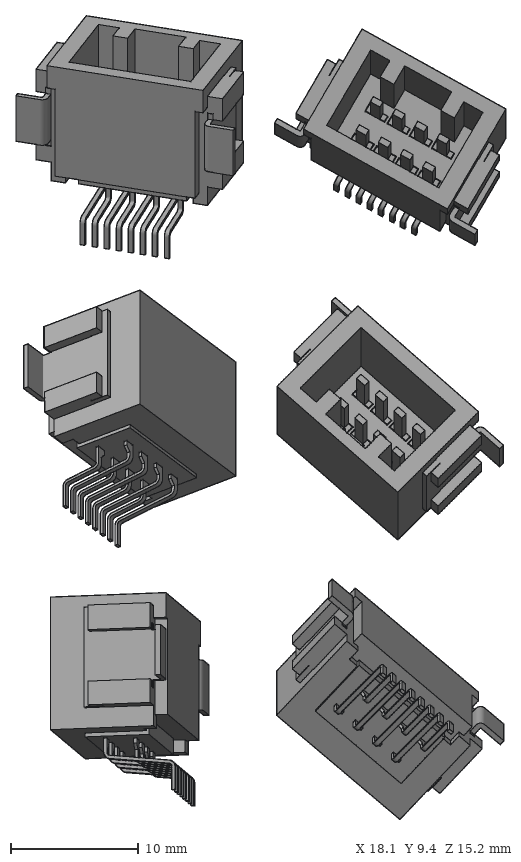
import cadquery as cq
import math


SHELL_HALF_X = 6.5
SHELL_DEPTH = 9.27
SHELL_TOP = 10.59

PANEL_DEPTH = 1.0
PANEL_HALF_X = 5.81
PANEL_BOTTOM = 1.0
PANEL_STEP_Z = 8.62

CAVITY_HALF_X = 5.07
CAVITY_FRONT = 1.15
CAVITY_REAR = 8.13
CAVITY_FLOOR = 2.0
RIB_INNER_X = 2.12
RIB_OUTER_X = 3.35
RIB_FRONT = 6.62
CENTRE_POCKET_REAR = 8.35

BASE_HALF_X = 4.5
BASE_FRONT = 1.77
BASE_REAR = 6.9
BASE_BOTTOM = -0.3
UNDERCUT_HALF_X = 5.32
UNDERCUT_REAR = 2.0

EAR_OUTER_X = 7.76
EAR_BOTTOM = 1.63
EAR_TOP = 9.6
EAR_REAR = 6.0
CLIP_CENTRE_Z = 5.57
CLIP_GAP = 0.04
CLIP_THICKNESS = 0.43
CLIP_INNER_X = SHELL_HALF_X + CLIP_GAP
CLIP_OUTER_X = CLIP_INNER_X + CLIP_THICKNESS
CLIP_PLATE_HEIGHT = 5.03
CLIP_SLOT_HEIGHT = CLIP_PLATE_HEIGHT + 2 * CLIP_GAP
CLIP_FOOT_HEIGHT = 4.0
EAR_WINDOW_HEIGHT = 4.1
CLIP_BAR_FRONT = 4.95
CLIP_BAR_REAR = 6.46
FOOT_FRONT = -0.13
FOOT_TIP_X = 9.05
FOOT_INNER_RADIUS = 0.05
FOOT_OUTER_RADIUS = FOOT_INNER_RADIUS + CLIP_THICKNESS

CONTACTS_PER_ROW = 4
ROW_SPAN = 6.01
CONTACT_PITCH = ROW_SPAN / (CONTACTS_PER_ROW - 1)
FIRST_CONTACT_X = -3.93
ROW_TURN_Y = 4.33
SHEET = 0.25
CONTACT_WIDTH = 1.68
CONTACT_FRONT = 5.34
BODY_THICKNESS = 0.49
BODY_BOTTOM = 1.0
FLANGE_DEPTH = 0.92
BLADE_WIDTH = 0.87
BLADE_TOP = 6.23
CONTACT_GAP = 0.05
FLANGE_POCKET_WIDTH = 0.49

LEAD_OFFSET_X = 0.22
LEAD_WIDTH = 0.4
NECK_WIDTH = 0.81
NECK_BOTTOM = -0.7
LEAD_TIP_Y = 0.0
LEAD_TIP_CORNER_Z = -2.43
LEAD_TIP_BOTTOM = -4.62
LEAD_SLOPE = math.radians(6.7)
BEND_INNER_RADIUS = SHEET
BEND_OUTER_RADIUS = BEND_INNER_RADIUS + SHEET


def box(x0, x1, y0, y1, z0, z1):
    """Box given by its two limits along each axis."""
    return cq.Workplane("XY").box(x1 - x0, y1 - y0, z1 - z0, centered=False).translate((x0, y0, z0))


def centred_height(height):
    """Bottom and top of a clip feature centred on the clip height."""
    return CLIP_CENTRE_Z - height / 2, CLIP_CENTRE_Z + height / 2


def turn_to_front_row(shape):
    """Half turn about a vertical axis that carries the rear row onto the front row."""
    return shape.rotate((0, ROW_TURN_Y, 0), (0, ROW_TURN_Y, 1), 180)



def make_shell():
    main = box(-SHELL_HALF_X, SHELL_HALF_X, PANEL_DEPTH, SHELL_DEPTH, 0, SHELL_TOP)
    panel = box(-PANEL_HALF_X, PANEL_HALF_X, 0, PANEL_DEPTH, PANEL_BOTTOM, SHELL_TOP)
    panel_head = box(-SHELL_HALF_X, SHELL_HALF_X, 0, PANEL_DEPTH, PANEL_STEP_Z, SHELL_TOP)
    undercut = box(-UNDERCUT_HALF_X, UNDERCUT_HALF_X, PANEL_DEPTH, UNDERCUT_REAR, 0, PANEL_BOTTOM)
    base = box(-BASE_HALF_X, BASE_HALF_X, BASE_FRONT, BASE_REAR, BASE_BOTTOM, PANEL_BOTTOM)
    return main.union(panel).union(panel_head).cut(undercut).union(base)


def make_cavity():
    cavity = box(-CAVITY_HALF_X, CAVITY_HALF_X, CAVITY_FRONT, CAVITY_REAR, CAVITY_FLOOR, SHELL_TOP)
    centre_pocket = box(-RIB_INNER_X, RIB_INNER_X, RIB_FRONT, CENTRE_POCKET_REAR, CAVITY_FLOOR, SHELL_TOP)
    right_rib = box(RIB_INNER_X, RIB_OUTER_X, RIB_FRONT, CAVITY_REAR, CAVITY_FLOOR, SHELL_TOP)
    left_rib = right_rib.mirror("YZ")
    return cavity.cut(right_rib).cut(left_rib).union(centre_pocket)


def make_ear():
    """Ear on the +X side, slotted for the clip."""
    ear = box(SHELL_HALF_X, EAR_OUTER_X, PANEL_DEPTH, EAR_REAR, EAR_BOTTOM, EAR_TOP)
    bar_slot = box(
        SHELL_HALF_X, CLIP_OUTER_X + CLIP_GAP, CLIP_BAR_FRONT, EAR_REAR, EAR_BOTTOM, EAR_TOP
    )
    plate_slot = box(
        SHELL_HALF_X, CLIP_OUTER_X, PANEL_DEPTH, CLIP_BAR_FRONT, *centred_height(CLIP_SLOT_HEIGHT)
    )
    window = box(
        CLIP_OUTER_X, EAR_OUTER_X, PANEL_DEPTH, EAR_REAR, *centred_height(EAR_WINDOW_HEIGHT)
    )
    return ear.cut(bar_slot).cut(plate_slot).cut(window)


def make_clip():
    """Solder clip on the +X side: rear bar, plate and a foot bent outward."""
    bar = box(CLIP_INNER_X, CLIP_OUTER_X, CLIP_BAR_FRONT, CLIP_BAR_REAR, EAR_BOTTOM, EAR_TOP)
    plate_front = PANEL_DEPTH + CLIP_GAP
    plate = box(
        CLIP_INNER_X, CLIP_OUTER_X, plate_front, CLIP_BAR_FRONT, *centred_height(CLIP_PLATE_HEIGHT)
    )
    foot_bottom = centred_height(CLIP_FOOT_HEIGHT)[0]
    foot_rear = FOOT_FRONT + CLIP_THICKNESS
    foot = (
        cq.Workplane("XY")
        .workplane(offset=foot_bottom)
        .moveTo(CLIP_INNER_X, plate_front)
        .lineTo(CLIP_INNER_X, FOOT_FRONT + FOOT_OUTER_RADIUS)
        .radiusArc((CLIP_INNER_X + FOOT_OUTER_RADIUS, FOOT_FRONT), -FOOT_OUTER_RADIUS)
        .lineTo(FOOT_TIP_X, FOOT_FRONT)
        .lineTo(FOOT_TIP_X, foot_rear)
        .lineTo(CLIP_OUTER_X + FOOT_INNER_RADIUS, foot_rear)
        .radiusArc((CLIP_OUTER_X, foot_rear + FOOT_INNER_RADIUS), FOOT_INNER_RADIUS)
        .lineTo(CLIP_OUTER_X, plate_front)
        .close()
        .extrude(CLIP_FOOT_HEIGHT)
    )
    return bar.union(plate).union(foot)


def make_contact_opening():
    """Floor pocket and neck slot for the first contact of the rear row."""
    left = FIRST_CONTACT_X - CONTACT_GAP
    right = FIRST_CONTACT_X + CONTACT_WIDTH + CONTACT_GAP
    front = CONTACT_FRONT - CONTACT_GAP
    rear = CONTACT_FRONT + FLANGE_DEPTH + CONTACT_GAP
    body_pocket = box(left, right, front, CONTACT_FRONT + BODY_THICKNESS, BODY_BOTTOM, CAVITY_FLOOR)
    flange_pocket = box(left, left + FLANGE_POCKET_WIDTH, front, rear, BODY_BOTTOM, CAVITY_FLOOR)
    neck_left = FIRST_CONTACT_X + LEAD_OFFSET_X
    neck_slot = box(
        neck_left, neck_left + NECK_WIDTH, CONTACT_FRONT, CONTACT_FRONT + SHEET, BASE_BOTTOM, BODY_BOTTOM
    )
    return body_pocket.union(flange_pocket).union(neck_slot)


def make_housing():
    housing = make_shell().cut(make_cavity())
    side_fitting = make_ear().union(make_clip())
    housing = housing.union(side_fitting).union(side_fitting.mirror("YZ"))
    for index in range(CONTACTS_PER_ROW):
        opening = make_contact_opening().translate((index * CONTACT_PITCH, 0, 0))
        housing = housing.cut(opening).cut(turn_to_front_row(opening))
    return housing



def make_lead(left, lead_rear):
    """Bent lead from the neck down to the board, its upper leg ending at lead_rear in Y."""
    lead_front = lead_rear - SHEET
    tip_front = LEAD_TIP_Y - SHEET / 2
    tip_rear = LEAD_TIP_Y + SHEET / 2
    half_drop = SHEET / 2 / math.cos(LEAD_SLOPE)

    def slope_z(y):
        return LEAD_TIP_CORNER_Z + (y - LEAD_TIP_Y) * math.tan(LEAD_SLOPE)

    upper_inner = (lead_front, slope_z(lead_front) + half_drop)
    upper_outer = (lead_rear, slope_z(lead_rear) - half_drop)
    lower_inner = (tip_rear, slope_z(tip_rear) - half_drop)
    lower_outer = (tip_front, slope_z(tip_front) + half_drop)
    outline = [
        (lead_rear, NECK_BOTTOM),
        upper_outer,
        lower_inner,
        (tip_rear, LEAD_TIP_BOTTOM),
        (tip_front, LEAD_TIP_BOTTOM),
        lower_outer,
        upper_inner,
        (lead_front, NECK_BOTTOM),
    ]
    lead = cq.Workplane("YZ").polyline(outline).close().extrude(LEAD_WIDTH)
    bends = [
        (upper_inner, BEND_INNER_RADIUS),
        (upper_outer, BEND_OUTER_RADIUS),
        (lower_inner, BEND_INNER_RADIUS),
        (lower_outer, BEND_OUTER_RADIUS),
    ]
    for (y, z), radius in bends:
        corner = cq.selectors.NearestToPointSelector((LEAD_WIDTH / 2, y, z))
        lead = lead.edges(corner).fillet(radius)
    return lead.translate((left, 0, 0))


def make_neck(left, front):
    """Flat neck whose right side tapers at 45 degrees down to the lead width."""
    taper = NECK_WIDTH - LEAD_WIDTH
    outline = [
        (left, BODY_BOTTOM),
        (left, NECK_BOTTOM - taper),
        (left + LEAD_WIDTH, NECK_BOTTOM - taper),
        (left + NECK_WIDTH, NECK_BOTTOM),
        (left + NECK_WIDTH, BODY_BOTTOM),
    ]
    return cq.Workplane("XZ", origin=(0, front, 0)).polyline(outline).close().extrude(-SHEET)


def make_contact_head():
    """L-shaped body set in the floor, with the mating blade standing on it."""
    left = FIRST_CONTACT_X
    right = left + CONTACT_WIDTH
    body_rear = CONTACT_FRONT + BODY_THICKNESS
    blade_left = left + (CONTACT_WIDTH - BLADE_WIDTH) / 2
    body = box(left, right, CONTACT_FRONT, body_rear, BODY_BOTTOM, CAVITY_FLOOR)
    flange = box(left, left + SHEET, CONTACT_FRONT, CONTACT_FRONT + FLANGE_DEPTH, BODY_BOTTOM, CAVITY_FLOOR)
    blade = box(blade_left, blade_left + BLADE_WIDTH, CONTACT_FRONT, body_rear, CAVITY_FLOOR, BLADE_TOP)
    return body.union(flange).union(blade)


def make_rear_contact(index):
    lead_left = FIRST_CONTACT_X + LEAD_OFFSET_X
    neck = make_neck(lead_left, CONTACT_FRONT)
    lead = make_lead(lead_left, CONTACT_FRONT + SHEET)
    contact = make_contact_head().union(neck).union(lead)
    return contact.translate((index * CONTACT_PITCH, 0, 0))


def make_front_contact(index):
    """Head and neck turned half round from the rear row; the lead still runs to the front."""
    neck_left = FIRST_CONTACT_X + LEAD_OFFSET_X
    head = turn_to_front_row(make_contact_head().union(make_neck(neck_left, CONTACT_FRONT)))
    lead_left = -neck_left - LEAD_WIDTH
    lead_rear = 2 * ROW_TURN_Y - CONTACT_FRONT
    contact = head.union(make_lead(lead_left, lead_rear))
    return contact.translate((-index * CONTACT_PITCH, 0, 0))


housing = make_housing()
contacts = []
for contact_index in range(CONTACTS_PER_ROW):
    contacts.append(make_rear_contact(contact_index).solids().val())
    contacts.append(make_front_contact(contact_index).solids().val())

result = cq.Compound.makeCompound([housing.solids().val(), *contacts])